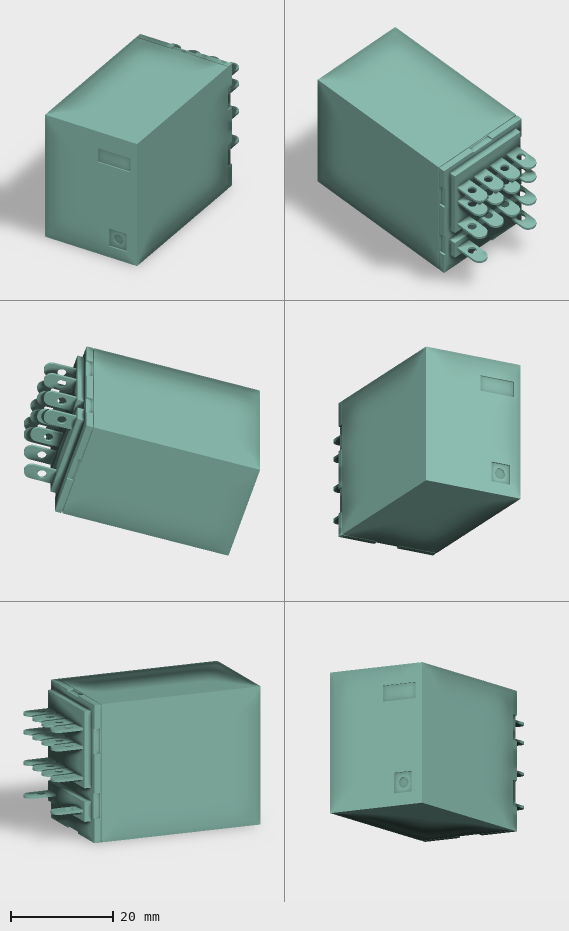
import cadquery as cq

LENGTH = 42.95
WIDTH = 21.1
HEIGHT = 27.95
TIP_Y = LENGTH / 2
FRONT_Y = -LENGTH / 2

TERMINAL_LENGTH = 6.1
PAD_THICKNESS = 1.37
BASE_THICKNESS = 1.3
GROOVE_WIDTH = 0.2
GROOVE_DEPTH = 0.2
PAD_Y = TIP_Y - TERMINAL_LENGTH
BASE_Y = PAD_Y - PAD_THICKNESS
GROOVE_Y = BASE_Y - BASE_THICKNESS
COVER_Y = GROOVE_Y - GROOVE_WIDTH

NOTCH_WIDTH = 5.1
NOTCH_DEPTH = 0.4
SIDE_NOTCH_OFFSET = 6.53

PAD_WIDTH = 17.85
CONTACT_PAD_Z = (-3.15, 12.4)
COIL_PAD_Z = (-9.9, -5.9)

TERMINAL_WIDTH = 3.18
TERMINAL_THICKNESS = 0.5
TERMINAL_PITCH = 4.42
EYE_DIAMETER = 1.8
EYE_FROM_TIP = 3.6
OUTER_X = 1.5 * TERMINAL_PITCH
INNER_X = 0.5 * TERMINAL_PITCH
CONTACT_COLUMNS = (-OUTER_X, -INNER_X, INNER_X, OUTER_X)
COIL_COLUMNS = (-OUTER_X, OUTER_X)
CONTACT_ROWS = (8.67, 4.95, -1.3)
COIL_ROW = -7.9

WINDOW_X = (1.55, 9.0)
WINDOW_Z = (7.0, 10.17)
WINDOW_DEPTH = 0.25
BUTTON_X = 6.1
BUTTON_Z = -9.45
BUTTON_POCKET_SIDE = 4.08
BUTTON_POCKET_DEPTH = 0.35
BUTTON_HOLE_DIAMETER = 2.15
BUTTON_HOLE_DEPTH = 0.2


def block(x_range, y_range, z_range):
    """Box filling the given (low, high) range along each axis."""
    ranges = (x_range, y_range, z_range)
    size = [high - low for low, high in ranges]
    corner = tuple(low for low, high in ranges)
    return cq.Workplane("XY").box(*size, centered=False).translate(corner)


def around(center, size):
    """(low, high) range of the given size about a center."""
    return (center - size / 2, center + size / 2)


def make_body():
    cover = block(around(0, WIDTH), (FRONT_Y, COVER_Y), around(0, HEIGHT))
    neck = block(
        around(0, WIDTH - 2 * GROOVE_DEPTH),
        (COVER_Y, GROOVE_Y),
        around(0, HEIGHT - 2 * GROOVE_DEPTH),
    )
    return cover.union(neck).union(make_base())


def make_base():
    thickness = (GROOVE_Y, BASE_Y)
    base = block(around(0, WIDTH), thickness, around(0, HEIGHT))
    for side in (-1, 1):
        base = base.cut(
            block(around(0, NOTCH_WIDTH), thickness, around(side * HEIGHT / 2, 2 * NOTCH_DEPTH))
        )
        for z in (-SIDE_NOTCH_OFFSET, SIDE_NOTCH_OFFSET):
            base = base.cut(
                block(around(side * WIDTH / 2, 2 * NOTCH_DEPTH), thickness, around(z, NOTCH_WIDTH))
            )
    return base


def make_pad(z_range):
    return block(around(0, PAD_WIDTH), (BASE_Y, PAD_Y), z_range)


def make_terminal(x, z):
    """Flat tab with a full-round tip and a wire eye."""
    half = TERMINAL_WIDTH / 2
    round_y = TIP_Y - half
    return (
        cq.Workplane("XY")
        .moveTo(-half, PAD_Y)
        .lineTo(half, PAD_Y)
        .lineTo(half, round_y)
        .threePointArc((0, TIP_Y), (-half, round_y))
        .close()
        .moveTo(0, TIP_Y - EYE_FROM_TIP)
        .circle(EYE_DIAMETER / 2)
        .extrude(TERMINAL_THICKNESS / 2, both=True)
        .translate((x, 0, z))
    )


def make_button_recess():
    """Square pocket with a round blind hole in its floor."""
    floor_y = FRONT_Y + BUTTON_POCKET_DEPTH
    pocket = block(
        around(BUTTON_X, BUTTON_POCKET_SIDE),
        (FRONT_Y, floor_y),
        around(BUTTON_Z, BUTTON_POCKET_SIDE),
    )
    hole = (
        cq.Workplane("XZ", origin=(BUTTON_X, floor_y, BUTTON_Z))
        .circle(BUTTON_HOLE_DIAMETER / 2)
        .extrude(-BUTTON_HOLE_DEPTH)
    )
    return pocket.union(hole)


result = make_body()
for pad_z in (CONTACT_PAD_Z, COIL_PAD_Z):
    result = result.union(make_pad(pad_z))

for row_z in CONTACT_ROWS:
    for column_x in CONTACT_COLUMNS:
        result = result.union(make_terminal(column_x, row_z))
for column_x in COIL_COLUMNS:
    result = result.union(make_terminal(column_x, COIL_ROW))

result = result.cut(block(WINDOW_X, (FRONT_Y, FRONT_Y + WINDOW_DEPTH), WINDOW_Z))
result = result.cut(make_button_recess())